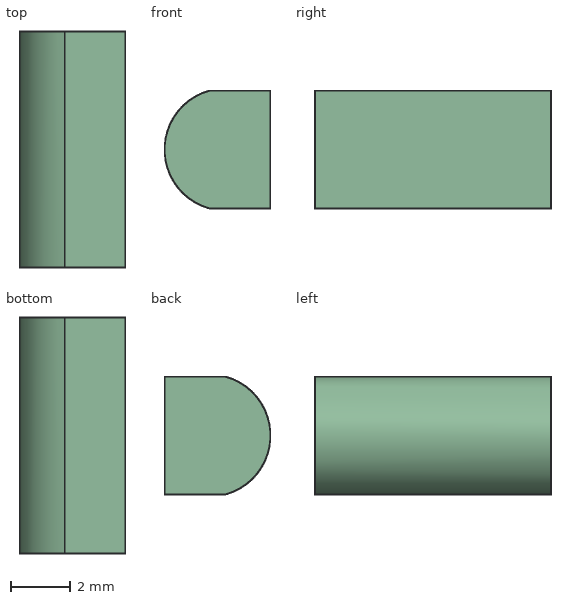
import cadquery as cq

width = 3.59
length = 8.0
height = 4.0

crown_depth = 1.53

crown_x = -width / 2
flat_side_x = width / 2
arc_end_x = crown_x + crown_depth
half_height = height / 2

result = (
    cq.Workplane("XZ")
    .moveTo(arc_end_x, half_height)
    .lineTo(flat_side_x, half_height)
    .lineTo(flat_side_x, -half_height)
    .lineTo(arc_end_x, -half_height)
    .threePointArc((crown_x, 0), (arc_end_x, half_height))
    .close()
    .extrude(length / 2, both=True)
)